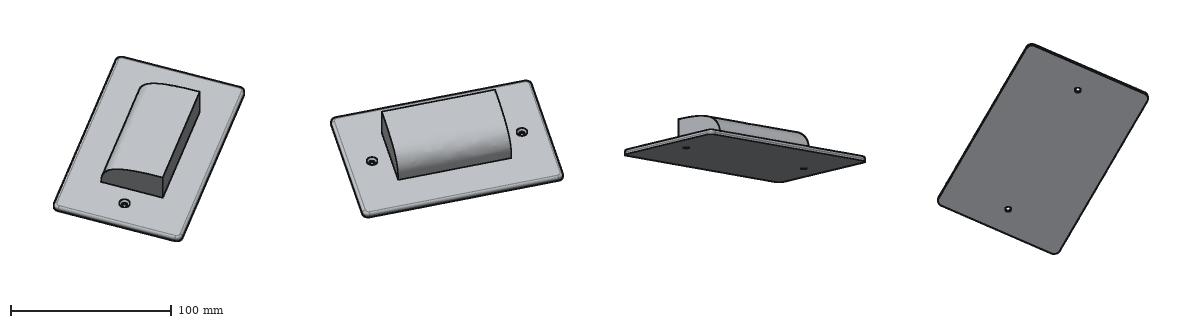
import cadquery as cq

plate_width = 84.8
plate_length = 129.6
plate_thickness = 3.5
corner_radius = 4.0
edge_radius = 2.0

total_height = 23.5
hood_left = -19.5
hood_right = 21.3
hood_length = 73.1
hood_width = hood_right - hood_left
hood_height = total_height - plate_thickness
rise_pull = 0.74 * hood_height
crest_pull = 0.8 * hood_width

screw_spacing = 96.7
screw_diameter = 3.6
countersink_diameter = 6.7
countersink_angle = 90


def make_plate():
    """Round-cornered plate with rounded front edges."""
    return (
        cq.Workplane("XY")
        .rect(plate_width, plate_length)
        .extrude(plate_thickness)
        .edges("|Z")
        .fillet(corner_radius)
        .faces(">Z")
        .edges()
        .fillet(edge_radius)
    )


def drill_screw_holes(plate):
    """Countersunk through holes above and below the hood."""
    return (
        plate.faces(">Z")
        .workplane(origin=(0, 0, plate_thickness))
        .pushPoints([(0, -screw_spacing / 2), (0, screw_spacing / 2)])
        .cskHole(screw_diameter, countersink_diameter, countersink_angle)
    )


def make_hood():
    """Quarter-round profile along Y, standing on the front of the plate."""
    foot = (hood_left, plate_thickness)
    foot_control = (hood_left, plate_thickness + rise_pull)
    crest_control = (hood_right - crest_pull, total_height)
    crest = (hood_right, total_height)
    return (
        cq.Workplane("XZ", origin=(0, hood_length / 2, 0))
        .moveTo(*foot)
        .bezier([foot, foot_control, crest_control, crest])
        .lineTo(hood_right, plate_thickness)
        .close()
        .extrude(hood_length)
    )


result = drill_screw_holes(make_plate()).union(make_hood())